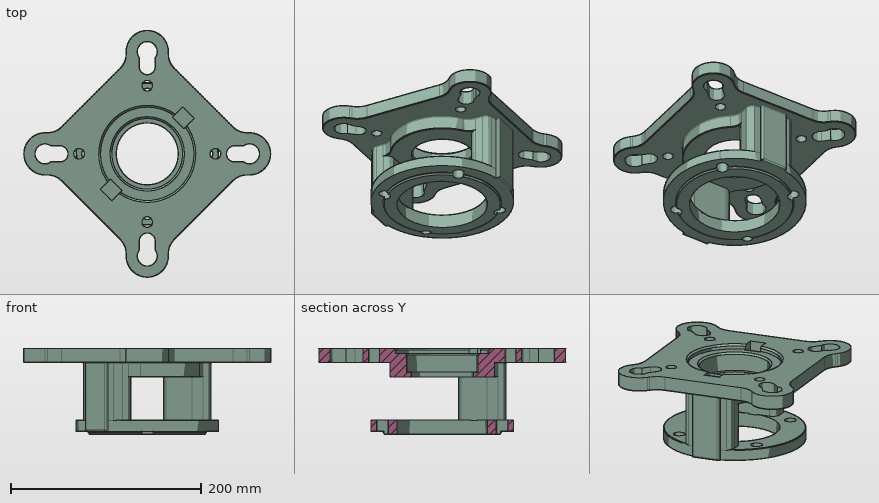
import cadquery as cq
import math

pilot_height = 3.0
flange_top = 15.0
ring_bottom = 60.3
plate_bottom = 75.5
plate_top = 90.5

edge_break = 0.8

tolerance = 0.3

overlap = 2.5

plate_span = 260.0
plate_half_width = 84.0
lug_radius = 22.4
lug_center = plate_span / 2 - lug_radius
lug_blend_radius = 20.8
keyhole_radius = 10.5
keyhole_slot_radius = 8.3
keyhole_slot_end = 91.8
plate_hole_radius = 5.5
plate_hole_center = 71.8

recess_radius = 49.1
recess_depth = 5.2
bore_radius = 37.2
bore_floor_thickness = 5.2
seat_chamfer = 1.95
through_radius = 32.5

ring_radius = 55.0
ring_blend_radius = 15.0

notch_width = 17.2
notch_inner = 46.0
notch_outer = 61.4
notch_depth = 10.5

post_half_width = 27.5
post_inner = 47.3
post_corner_radius = 8.0
rib_half_width = 15.3
rib_outer = 77.5
rib_edge_radius = 1.8

flange_radius = 75.1
flange_bore_radius = 47.5
flange_hole_radius = 6.0
flange_hole_center = 63.0
pilot_radius = 62.5
pilot_rim_height = 1.8
pilot_relief = 0.8
pilot_chamfer = 1.3

post_angles = (45, 225)
quarter_turns = (0, 90, 180, 270)


def disc(radius, bottom, top):
    """Solid disc on the Z axis between two heights."""
    return cq.Workplane("XY").workplane(offset=bottom).circle(radius).extrude(top - bottom)


def block(inner, outer, width, bottom, top):
    """Block centred on the X axis, between two X positions and two heights."""
    return cq.Workplane("XY").box(
        outer - inner, width, top - bottom, centered=(False, True, False)
    ).translate((inner, 0, bottom))


def turned(shape, angle):
    """The shape turned about the Z axis."""
    return shape.rotate((0, 0, 0), (0, 0, 1), angle)


def round_holes(center, radius, bottom, top):
    """Four round cutters on the X and Y axes, between two heights."""
    return (
        cq.Workplane("XY").workplane(offset=bottom)
        .polarArray(center, 0, 360, 4).circle(radius).extrude(top - bottom)
    )


def make_plate():
    thickness = plate_top - plate_bottom
    square_side = 2 * plate_half_width
    plate = turned(cq.Workplane("XY").rect(square_side, square_side).extrude(thickness), 45)
    for angle in quarter_turns:
        lug = cq.Workplane("XY").center(lug_center, 0).circle(lug_radius).extrude(thickness)
        lug = lug.union(block(0, lug_center, 2 * lug_radius, 0, thickness))
        plate = plate.union(turned(lug, angle))

    corner_x = math.sqrt(2) * plate_half_width - lug_radius
    distance = math.hypot(corner_x, lug_radius)
    for angle in quarter_turns:
        for side in (-1, 1):
            direction = math.radians(angle) + side * math.atan2(lug_radius, corner_x)
            x = distance * math.cos(direction)
            y = distance * math.sin(direction)
            corner = cq.selectors.BoxSelector(
                (x - tolerance, y - tolerance, -tolerance),
                (x + tolerance, y + tolerance, thickness + tolerance),
            )
            plate = plate.edges(corner).fillet(lug_blend_radius)
    plate = plate.faces("<Z").edges().chamfer(edge_break)
    return plate.translate((0, 0, plate_bottom))


def make_ring():
    """Ring with concave blends that run tangent into the flat sides of the posts."""
    ring = disc(ring_radius, ring_bottom, plate_bottom)
    blend_y = post_half_width + ring_blend_radius
    blend_x = math.sqrt((ring_radius + ring_blend_radius) ** 2 - blend_y ** 2)
    blend_circles = (
        cq.Workplane("XY").workplane(offset=ring_bottom)
        .pushPoints([(blend_x, blend_y), (blend_x, -blend_y)])
        .circle(ring_blend_radius).extrude(plate_bottom - ring_bottom)
    )
    gusset = (
        cq.Workplane("XY").workplane(offset=ring_bottom)
        .polyline([(0, 0), (blend_x, blend_y), (blend_x, -blend_y)]).close()
        .extrude(plate_bottom - ring_bottom)
        .cut(blend_circles)
    )
    for angle in post_angles:
        ring = ring.union(turned(gusset, angle))
    return ring.faces("<Z").edges().chamfer(edge_break)


def make_post():
    """One post and its rib, lying along the +X axis."""
    post = block(post_inner, flange_radius + overlap, 2 * post_half_width, pilot_height, plate_bottom)
    post = post.intersect(disc(flange_radius, pilot_height, plate_bottom))
    post = post.edges("|Z").fillet(post_corner_radius)
    post = post.intersect(disc(flange_radius, flange_top - edge_break, plate_bottom))
    rib = block(flange_bore_radius + overlap, rib_outer, 2 * rib_half_width, pilot_height, plate_bottom)
    rib = rib.faces(">X").edges("not >Z").fillet(rib_edge_radius)
    return post.union(rib)


def make_flange():
    flange = disc(flange_radius, pilot_height, flange_top).faces(">Z").edges().chamfer(edge_break)
    pilot = (
        cq.Workplane("XZ")
        .polyline([
            (0, 0),
            (pilot_radius - pilot_chamfer, 0),
            (pilot_radius, pilot_rim_height),
            (pilot_radius - pilot_relief, pilot_height),
            (0, pilot_height),
        ]).close()
        .revolve(360, (0, 0, 0), (0, 1, 0))
    )
    flange = flange.union(pilot)
    flange = flange.cut(disc(flange_bore_radius, 0, flange_top))
    return flange.cut(round_holes(flange_hole_center, flange_hole_radius, 0, flange_top))


def make_bearing_seat():
    recess_floor = plate_top - recess_depth
    bore_floor = ring_bottom + bore_floor_thickness
    return (
        cq.Workplane("XZ")
        .polyline([
            (0, ring_bottom),
            (through_radius, ring_bottom),
            (through_radius, bore_floor),
            (bore_radius, bore_floor),
            (bore_radius, recess_floor - seat_chamfer),
            (bore_radius + seat_chamfer, recess_floor),
            (recess_radius, recess_floor),
            (recess_radius, plate_top - seat_chamfer),
            (recess_radius + seat_chamfer, plate_top),
            (0, plate_top),
        ]).close()
        .revolve(360, (0, 0, 0), (0, 1, 0))
    )


def make_keyhole():
    """Keyhole cutter on the +X axis, wide end outward."""
    wide_end = disc(keyhole_radius, plate_bottom, plate_top).translate((lug_center, 0, 0))
    slot_end = disc(keyhole_slot_radius, plate_bottom, plate_top).translate((keyhole_slot_end, 0, 0))
    neck = block(keyhole_slot_end, lug_center, 2 * keyhole_slot_radius, plate_bottom, plate_top)
    return wide_end.union(slot_end).union(neck)


def make_notch():
    """Notch cutter on the +X axis; its floor falls away from the recess floor."""
    return (
        cq.Workplane("XZ")
        .polyline([
            (notch_inner, plate_top),
            (notch_inner, plate_top - recess_depth),
            (notch_outer, plate_top - notch_depth),
            (notch_outer, plate_top),
        ]).close()
        .extrude(notch_width / 2, both=True)
    )


result = make_plate().union(make_ring()).union(make_flange())
for angle in post_angles:
    result = result.union(turned(make_post(), angle))

reach = flange_radius + overlap
junction = cq.selectors.BoxSelector(
    (-reach, -reach, plate_bottom - tolerance),
    (reach, reach, plate_bottom + tolerance),
    boundingbox=True,
)
result = result.edges(junction).fillet(edge_break)

result = result.cut(make_bearing_seat()).cut(
    round_holes(plate_hole_center, plate_hole_radius, plate_bottom, plate_top)
)
for angle in quarter_turns:
    result = result.cut(turned(make_keyhole(), angle))
for angle in post_angles:
    result = result.cut(turned(make_notch(), angle))